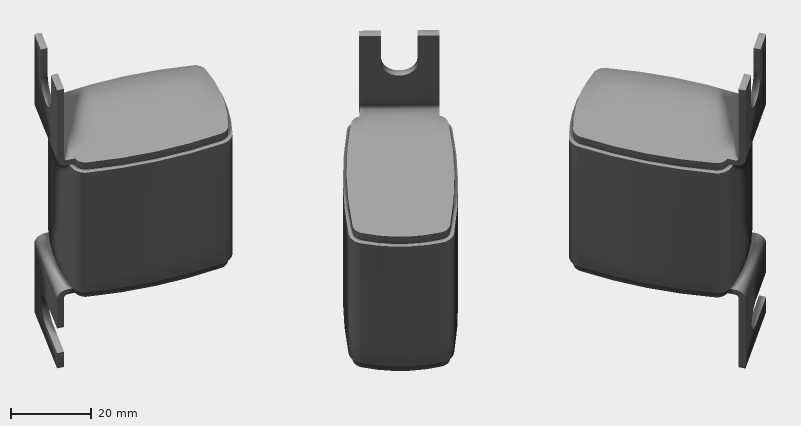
import cadquery as cq

total_height = 101.6
total_depth = 46.8

body_width = 28.8
body_depth = 44.5
body_height = 43.8
corner_x = 12.8
corner_y = 20.2
corner_radius = 4.0

cap_inset = 0.9
cap_thickness = 2.6

blade_width = 20.0
blade_thickness = 1.8
bend_inner_radius = 0.9

slot_width = 9.0
top_slot_depth = 14.5
side_slot_center_x = 0.5
side_slot_center_z = -40.7

slot_radius = slot_width / 2
half_width = body_width / 2
half_depth = body_depth / 2
core_height = body_height + 2 * cap_thickness
bend_outer_radius = bend_inner_radius + blade_thickness
blade_front_y = half_depth - total_depth
blade_back_y = blade_front_y + blade_thickness
blade_root_y = -half_depth / 2
blade_end_z = total_height / 2
cap_end_z = core_height / 2


def barrel_block(height, inset):
    """Centred block with four bowed sides and rounded corners, shrunk by inset."""
    x = corner_x - inset
    y = corner_y - inset
    return (
        cq.Workplane("XY")
        .workplane(offset=-height / 2)
        .moveTo(x, -y)
        .threePointArc((half_width - inset, 0), (x, y))
        .threePointArc((0, half_depth - inset), (-x, y))
        .threePointArc((inset - half_width, 0), (-x, -y))
        .threePointArc((0, inset - half_depth), (x, -y))
        .close()
        .extrude(height)
        .edges("|Z")
        .fillet(corner_radius - inset)
    )


def upper_blade():
    """L-shaped blade let into the upper cap, flush with its top face."""
    foot_bottom_z = cap_end_z - blade_thickness
    blade = (
        cq.Workplane("YZ")
        .moveTo(blade_root_y, foot_bottom_z)
        .lineTo(blade_front_y, foot_bottom_z)
        .lineTo(blade_front_y, blade_end_z)
        .lineTo(blade_back_y, blade_end_z)
        .lineTo(blade_back_y, cap_end_z)
        .lineTo(blade_root_y, cap_end_z)
        .close()
        .extrude(blade_width / 2, both=True)
    )
    outer_bend = cq.NearestToPointSelector((0, blade_front_y, foot_bottom_z))
    inner_bend = cq.NearestToPointSelector((0, blade_back_y, cap_end_z))
    blade = blade.edges("|X").edges(outer_bend).fillet(bend_outer_radius)
    return blade.edges("|X").edges(inner_bend).fillet(bend_inner_radius)


def open_slot(center_x, center_z, length, angle):
    """Round-ended cutter running from its arc centre along the given angle from +X."""
    mid_y = (blade_front_y + blade_back_y) / 2
    cut_depth = 2 * blade_thickness
    round_end = cq.Workplane("XZ").circle(slot_radius).extrude(cut_depth / 2, both=True)
    straight = cq.Workplane("XY").box(length, cut_depth, slot_width).translate((length / 2, 0, 0))
    cutter = round_end.union(straight)
    cutter = cutter.rotate((0, 0, 0), (0, -1, 0), angle)
    return cutter.translate((center_x, mid_y, center_z))


top_slot_center_z = blade_end_z - top_slot_depth + slot_radius
top_slot = open_slot(0, top_slot_center_z, top_slot_depth, 90)
side_slot = open_slot(side_slot_center_x, side_slot_center_z, blade_width, 0)

plain_blade = upper_blade()
top_blade = plain_blade.cut(top_slot)
bottom_blade = plain_blade.mirror("XY").cut(side_slot)

body = barrel_block(body_height, 0)
caps = barrel_block(core_height, cap_inset)
result = body.union(caps).union(top_blade).union(bottom_blade)